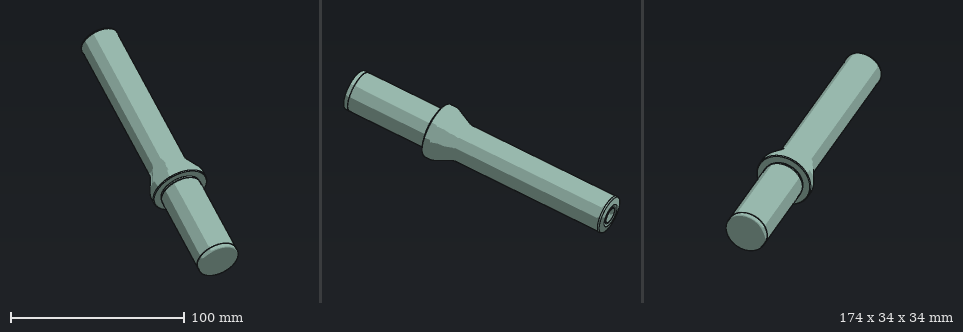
import cadquery as cq
import math

overall_length = 174.0
guide_diameter = 23.0
collar_diameter = 34.0
shank_diameter = 25.0
neck_diameter = 24.5

nose_diameter = 22.8
nose_back = 0.7
lip_diameter = 23.5
lip_position = 1.7
lip_taper_end = 2.8

cone_start = 101.0
cone_angle = math.radians(24.5)
guide_blend_radius = 5.2
rim_blend_radius = 2.3
collar_end = 118.0
collar_chamfer = 0.5

undercut_length = 1.0
undercut_taper_length = 0.5

cap_joint = 170.9
joint_taper_length = 0.9
cap_edge_radius = 1.0

face_rim_diameter = 20.5
face_rim_depth = 0.45
groove_outer_diameter = 14.3
groove_bottom_diameter = 10.8
groove_depth = 0.3
dish_diameter = 9.2
dish_rim_depth = 0.2
dish_depth = 0.63


def revolve_about_x(profile):
    return profile.close().revolve(360, (0, 0, 0), (1, 0, 0))


def edge_at(x):
    """Select the circular edge centred at the given x."""
    return cq.selectors.BoxSelector(
        (x - 0.02, -collar_diameter, -collar_diameter),
        (x + 0.02, collar_diameter, collar_diameter),
    )


def make_pin():
    guide_radius = guide_diameter / 2
    collar_radius = collar_diameter / 2
    shank_radius = shank_diameter / 2
    neck_radius = neck_diameter / 2
    cone_end = cone_start + (collar_radius - guide_radius) / math.tan(cone_angle)
    undercut_end = collar_end + undercut_length
    pin = revolve_about_x(
        cq.Workplane("XY")
        .moveTo(dish_depth, 0)
        .lineTo(dish_rim_depth, dish_diameter / 2)
        .lineTo(groove_depth, groove_bottom_diameter / 2)
        .lineTo(0, groove_outer_diameter / 2)
        .lineTo(face_rim_depth, face_rim_diameter / 2)
        .lineTo(nose_back, nose_diameter / 2)
        .lineTo(lip_position, lip_diameter / 2)
        .lineTo(lip_taper_end, guide_radius)
        .lineTo(cone_start, guide_radius)
        .lineTo(cone_end, collar_radius)
        .lineTo(collar_end - collar_chamfer, collar_radius)
        .lineTo(collar_end, collar_radius - collar_chamfer)
        .lineTo(collar_end, neck_radius)
        .lineTo(undercut_end, neck_radius)
        .lineTo(undercut_end + undercut_taper_length, shank_radius)
        .lineTo(cap_joint - joint_taper_length, shank_radius)
        .lineTo(cap_joint, neck_radius)
        .lineTo(cap_joint, 0)
    )
    pin = pin.edges(edge_at(cone_start)).fillet(guide_blend_radius)
    return pin.edges(edge_at(cone_end)).fillet(rim_blend_radius)


def make_end_cap():
    disc = (
        cq.Workplane("YZ", origin=(cap_joint, 0, 0))
        .circle(shank_diameter / 2)
        .extrude(overall_length - cap_joint)
    )
    return disc.faces(">X").edges().fillet(cap_edge_radius)


pin = make_pin()
end_cap = make_end_cap()

result = cq.Compound.makeCompound([pin.val(), end_cap.val()])